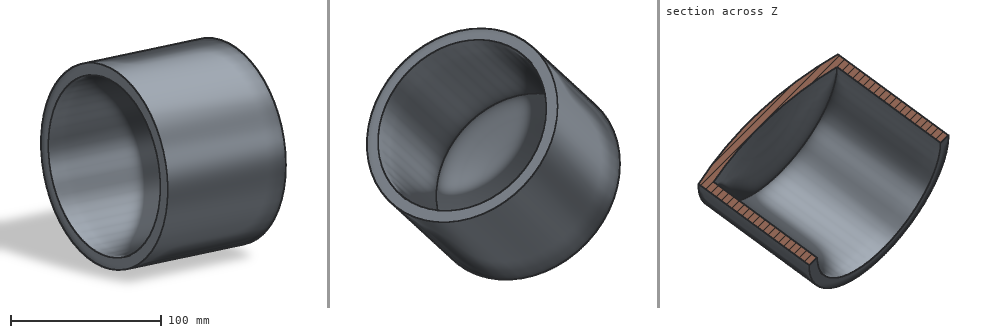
import cadquery as cq
import math

outer_diameter = 140.0
wall = 8.3
overall_length = 106.8
dome_rise = wall

outer_radius = outer_diameter / 2
inner_radius = outer_radius - wall
skirt_length = overall_length - dome_rise

dome_radius = (outer_radius**2 + dome_rise**2) / (2 * dome_rise)
dome_center_y = overall_length - dome_radius
inner_dome_radius = dome_radius - wall


def dome_y(sphere_radius, distance):
    """Y of a dome face at a distance from the cap axis."""
    return dome_center_y + math.sqrt(sphere_radius**2 - distance**2)


def dome_point(sphere_radius, distance):
    """Profile point of a dome face at a distance from the cap axis."""
    return (distance, dome_y(sphere_radius, distance))


half_section = (
    cq.Workplane("XY")
    .moveTo(inner_radius, 0)
    .lineTo(outer_radius, 0)
    .lineTo(outer_radius, skirt_length)
    .threePointArc(dome_point(dome_radius, outer_radius / 2), (0, overall_length))
    .lineTo(0, overall_length - wall)
    .threePointArc(
        dome_point(inner_dome_radius, inner_radius / 2),
        dome_point(inner_dome_radius, inner_radius),
    )
    .close()
)

result = half_section.revolve(360, (0, 0, 0), (0, 1, 0))